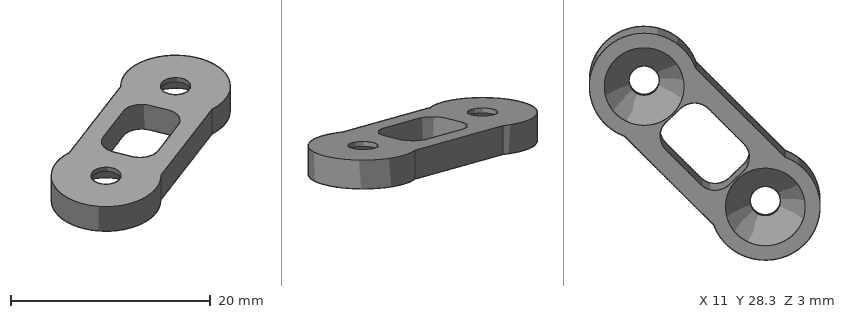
import cadquery as cq
import math

length = 28.32
thickness = 3.0
end_diameter = 11.0
bar_width = 10.0

hole_diameter = 3.0
lip_depth = 0.5
countersink_angle = 90
window_width = 6.0
window_length = 9.0
window_corner_radius = 2.0

center_spacing = length - end_diameter
end_centers = [(0, -center_spacing / 2), (0, center_spacing / 2)]


def end_cylinders(diameter):
    """One upright cylinder at each end center, through the full thickness."""
    return cq.Workplane("XY").pushPoints(end_centers).circle(diameter / 2).extrude(thickness)


def window():
    """Central rounded-rectangle opening."""
    block = cq.Workplane("XY").rect(window_width, window_length).extrude(thickness)
    return block.edges("|Z").fillet(window_corner_radius)


def countersinks():
    """Cones opening from the lip of each hole down to the bottom face."""
    height = thickness - lip_depth
    top_radius = hole_diameter / 2
    bottom_radius = top_radius + height * math.tan(math.radians(countersink_angle / 2))
    cone = cq.Solid.makeCone(bottom_radius, top_radius, height)
    return cq.Workplane("XY").pushPoints(end_centers).eachpoint(lambda place: cone.moved(place))


bar = cq.Workplane("XY").rect(bar_width, center_spacing).extrude(thickness)
plate = bar.union(end_cylinders(end_diameter))

result = plate.cut(end_cylinders(hole_diameter)).cut(countersinks()).cut(window())